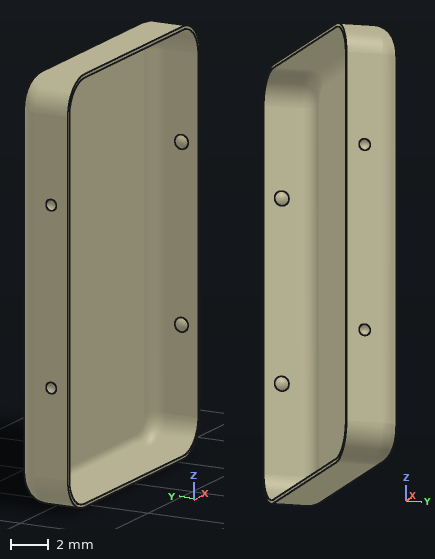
import cadquery as cq

width = 14.9
depth = 3.0
height = 23.7
wall = 0.2
corner_radius = 1.9
floor_edge_radius = 1.0

detent_radius = 0.38
detent_mouth_radius = 0.3
detent_spacing = 10.0
detent_rim_distance = 1.0

rim_y = -depth / 2


def rounded_block(inset):
    """Block inset from the tray's outer skin, starting at the rim, with a rounded floor edge."""
    return (
        cq.Workplane("XZ", origin=(0, rim_y, 0))
        .rect(width - 2 * inset, height - 2 * inset)
        .extrude(-(depth - inset))
        .edges("|Y")
        .fillet(corner_radius - inset)
        .faces(">Y")
        .edges()
        .fillet(floor_edge_radius - inset)
    )


def detent_ball(side, z, radius):
    """Ball centred just outside a side wall, its poles along X; side is -1 for -X and +1 for +X."""
    center_offset = (detent_radius**2 - detent_mouth_radius**2) ** 0.5
    center = cq.Vector(side * (width / 2 + center_offset), rim_y + detent_rim_distance, z)
    ball = cq.Solid.makeSphere(radius, angleDegrees1=-90, angleDegrees2=90)
    return ball.rotate(cq.Vector(0, 0, 0), cq.Vector(0, 1, 0), 90).translate(center)


detent_places = [(side, side_z * detent_spacing / 2) for side in (-1, 1) for side_z in (-1, 1)]

cavity = rounded_block(wall)
for side, z in detent_places:
    cavity = cavity.cut(cq.Workplane(detent_ball(side, z, detent_radius + wall)))

result = rounded_block(0).cut(cavity)

for side, z in detent_places:
    result = result.cut(cq.Workplane(detent_ball(side, z, detent_radius)))